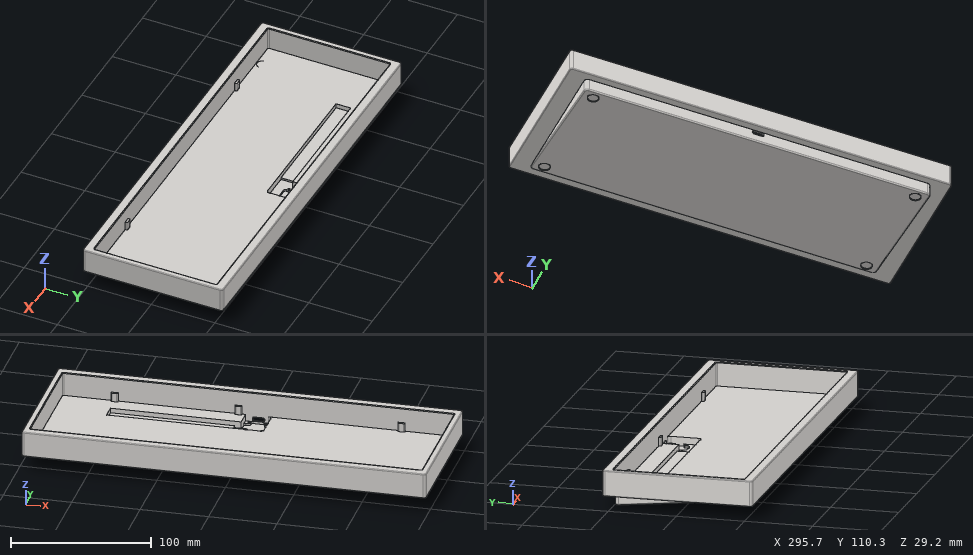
import cadquery as cq

LENGTH = 295.7
WIDTH = 110.3
TRAY_HEIGHT = 19.0
SIDE_WALL = 4.7
END_WALL = 7.0
FLOOR = 1.2
CORNER_RADIUS = 2.0
CAVITY_RADIUS = 1.0
EDGE_ROUND = 0.5
RIM_CHAMFER = 0.5

WEDGE_LENGTH = 268.0
WEDGE_WIDTH = 99.5
WEDGE_DEPTH = 10.3
WEDGE_RADIUS = 3.0
WEDGE_ROUND = 1.0

FOOT_DIAMETER = 8.3
FOOT_DEPTH = 1.0
FOOT_X = 124.8
FOOT_BACK_INSET = 7.5
FOOT_FRONT_INSET = 6.0

CLIP_HEIGHT = 6.5
CLIP_REACH = 1.8
CLIP_WIDTH = 5.0
CLIP_RADIUS = 1.0
BACK_CLIPS_X = (-105.0, -14.5, 104.7)
FRONT_CLIPS_X = (-90.5, 90.0)

BOARD_X = 0.0
BOARD_LENGTH = 19.0
POCKET_FRONT_Y = 23.7
POCKET_DEPTH = 5.0
POCKET_RADIUS = 2.0

SLOT_LEFT_X = -105.0
SLOT_RIGHT_X = -14.2
SLOT_BACK_Y = 35.2
SLOT_DEPTH = 3.5

CLEARANCE_DEPTH = 1.5
CLEARANCE_FRONT_Y = 30.8
CLEARANCE_ARM_WIDTH = 10.0
CLEARANCE_BODY_Y = (35.5, 44.0)
CLEARANCE_RADIUS = 1.5

SCREW_DIAMETER = 1.6
SCREW_DEPTH = 2.7
SCREW_SPACING_X = 13.0
SCREW_ROWS_Y = (33.7, 46.0)

PORT_WIDTH = 9.0
PORT_HEIGHT = 3.3
PORT_RADIUS = 1.5
PORT_SILL = 0.3

CAVITY_LENGTH = LENGTH - 2 * SIDE_WALL
CAVITY_WIDTH = WIDTH - 2 * END_WALL
CAVITY_BACK_Y = CAVITY_WIDTH / 2
WEDGE_BACK_Y = WEDGE_WIDTH / 2
POCKET_FLOOR_Z = FLOOR - POCKET_DEPTH
BOARD_RIGHT_X = BOARD_X + BOARD_LENGTH / 2


def block(x_range, y_range, z_range):
    """Box between the given limits."""
    (x0, x1), (y0, y1), (z0, z1) = x_range, y_range, z_range
    return cq.Workplane("XY").box(x1 - x0, y1 - y0, z1 - z0, centered=False).translate((x0, y0, z0))


def tray_body():
    outer = cq.Workplane("XY").box(LENGTH, WIDTH, TRAY_HEIGHT, centered=(True, True, False))
    return outer.edges("|Z").fillet(CORNER_RADIUS).faces("<Z or >Z").edges().fillet(EDGE_ROUND)


def wedge():
    """Rounded block trimmed to a triangular side profile; its top overlaps the tray floor."""
    solid = block(
        (-WEDGE_LENGTH / 2, WEDGE_LENGTH / 2), (-WEDGE_BACK_Y, WEDGE_BACK_Y), (-WEDGE_DEPTH, FLOOR)
    ).edges("|Z").fillet(WEDGE_RADIUS)
    profile = (
        cq.Workplane("YZ")
        .moveTo(-WEDGE_BACK_Y, FLOOR)
        .lineTo(-WEDGE_BACK_Y, 0)
        .lineTo(WEDGE_BACK_Y, -WEDGE_DEPTH)
        .lineTo(WEDGE_BACK_Y, FLOOR)
        .close()
        .extrude(WEDGE_LENGTH / 2, both=True)
    )
    return solid.intersect(profile).faces("<Z").edges().fillet(WEDGE_ROUND)


def cavity():
    solid = (
        cq.Workplane("XY", origin=(0, 0, FLOOR))
        .rect(CAVITY_LENGTH, CAVITY_WIDTH)
        .extrude(TRAY_HEIGHT - FLOOR)
    )
    return solid.edges("|Z").fillet(CAVITY_RADIUS)


def clip(x, side):
    """Rounded clip on the back wall (side = 1) or the front wall (side = -1)."""
    wall_y = side * CAVITY_BACK_Y
    tip_y = wall_y - side * CLIP_REACH
    half = CLIP_WIDTH / 2
    z_range = (FLOOR, FLOOR + CLIP_HEIGHT)
    solid = block((x - half, x + half), sorted((wall_y, tip_y)), z_range)
    free_edges = "|Z and <Y" if side > 0 else "|Z and >Y"
    return solid.edges(free_edges).fillet(CLIP_RADIUS)


def board_pocket():
    """L-shaped pocket: the board area at the back and a foot reaching left to the slot."""
    board = block(
        (BOARD_X - BOARD_LENGTH / 2, BOARD_RIGHT_X), (POCKET_FRONT_Y, CAVITY_BACK_Y), (POCKET_FLOOR_Z, FLOOR)
    ).edges("|Z and >X").fillet(POCKET_RADIUS)
    foot = block((SLOT_RIGHT_X, BOARD_X), (POCKET_FRONT_Y, SLOT_BACK_Y), (POCKET_FLOOR_Z, FLOOR))
    return board.union(foot)


def cable_slot():
    return block((SLOT_LEFT_X, SLOT_RIGHT_X), (POCKET_FRONT_Y, SLOT_BACK_Y), (FLOOR - SLOT_DEPTH, FLOOR))


def clearance():
    z_range = (POCKET_FLOOR_Z - CLEARANCE_DEPTH, POCKET_FLOOR_Z)
    arm = CLEARANCE_ARM_WIDTH / 2
    body = block((BOARD_X - BOARD_LENGTH / 2, BOARD_RIGHT_X), CLEARANCE_BODY_Y, z_range)
    arms = block((BOARD_X - arm, BOARD_X + arm), (CLEARANCE_FRONT_Y, CAVITY_BACK_Y), z_range)
    return body.union(arms).edges("|Z").fillet(CLEARANCE_RADIUS)


def screw_holes():
    half = SCREW_SPACING_X / 2
    places = [(BOARD_X + side * half, y) for side in (-1, 1) for y in SCREW_ROWS_Y]
    plane = cq.Workplane("XY", origin=(0, 0, POCKET_FLOOR_Z))
    return plane.pushPoints(places).circle(SCREW_DIAMETER / 2).extrude(-SCREW_DEPTH)


def port():
    half = PORT_WIDTH / 2
    solid = block(
        (BOARD_X - half, BOARD_X + half),
        (CAVITY_BACK_Y, WEDGE_BACK_Y),
        (POCKET_FLOOR_Z + PORT_SILL, POCKET_FLOOR_Z + PORT_SILL + PORT_HEIGHT),
    )
    return solid.edges("|Y").fillet(PORT_RADIUS)


def foot_recesses():
    front_y = FOOT_FRONT_INSET - WEDGE_BACK_Y
    back_y = WEDGE_BACK_Y - FOOT_BACK_INSET
    recesses = cq.Workplane("XY")
    for y in (front_y, back_y):
        underside_z = -WEDGE_DEPTH * (y + WEDGE_BACK_Y) / WEDGE_WIDTH
        for x in (-FOOT_X, FOOT_X):
            slope = cq.Plane(origin=(x, y, underside_z), xDir=(1, 0, 0), normal=(0, WEDGE_DEPTH, WEDGE_WIDTH))
            recesses = recesses.add(cq.Workplane(slope).circle(FOOT_DIAMETER / 2).extrude(FOOT_DEPTH))
    return recesses.combine()


result = tray_body().union(wedge()).cut(cavity())
rim = cq.selectors.BoxSelector(
    (-CAVITY_LENGTH / 2 - RIM_CHAMFER, -CAVITY_BACK_Y - RIM_CHAMFER, TRAY_HEIGHT - RIM_CHAMFER),
    (CAVITY_LENGTH / 2 + RIM_CHAMFER, CAVITY_BACK_Y + RIM_CHAMFER, TRAY_HEIGHT + RIM_CHAMFER),
    boundingbox=True,
)
result = result.edges(rim).chamfer(RIM_CHAMFER)

for clip_x in BACK_CLIPS_X:
    result = result.union(clip(clip_x, 1))
for clip_x in FRONT_CLIPS_X:
    result = result.union(clip(clip_x, -1))

for hollow in (board_pocket(), cable_slot(), clearance(), screw_holes(), port(), foot_recesses()):
    result = result.cut(hollow)